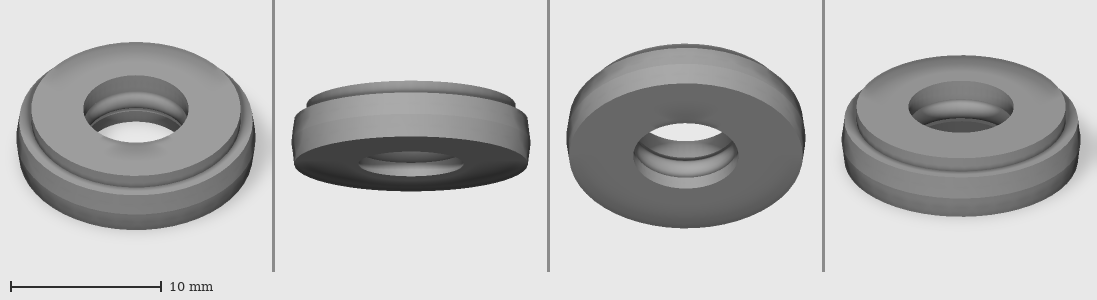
import cadquery as cq

rim_radius = 7.95
rim_height = 3.0
rim_taper = 0.19
total_height = 4.0
collar_radius = 6.95
bore_radius = 3.5

ring_inner_radius = 3.25
ring_section_radius = 0.8
groove_floor_height = 0.92
groove_width = 1.69

ring_center_radius = ring_inner_radius + ring_section_radius
groove_radius = ring_center_radius + ring_section_radius
groove_top = groove_floor_height + groove_width
ring_center_height = groove_floor_height + groove_width / 2


def make_bushing():
    """Double-tapered rim with a raised collar, a bore and an internal groove."""
    end_radius = rim_radius - rim_taper
    half_section = [
        (bore_radius, 0),
        (end_radius, 0),
        (rim_radius, rim_height / 2),
        (end_radius, rim_height),
        (collar_radius, rim_height),
        (collar_radius, total_height),
        (bore_radius, total_height),
        (bore_radius, groove_top),
        (groove_radius, groove_top),
        (groove_radius, groove_floor_height),
        (bore_radius, groove_floor_height),
    ]
    return cq.Workplane("XZ").polyline(half_section).close().revolve(360, (0, 0, 0), (0, 1, 0))


def make_sealing_ring():
    """Round-section ring that touches the groove's outer wall."""
    section = cq.Workplane("XZ").center(ring_center_radius, ring_center_height).circle(ring_section_radius)
    return section.revolve(360, (-ring_center_radius, 0, 0), (-ring_center_radius, 1, 0))


bushing = make_bushing()
sealing_ring = make_sealing_ring()

result = cq.Compound.makeCompound([bushing.val(), sealing_ring.val()])